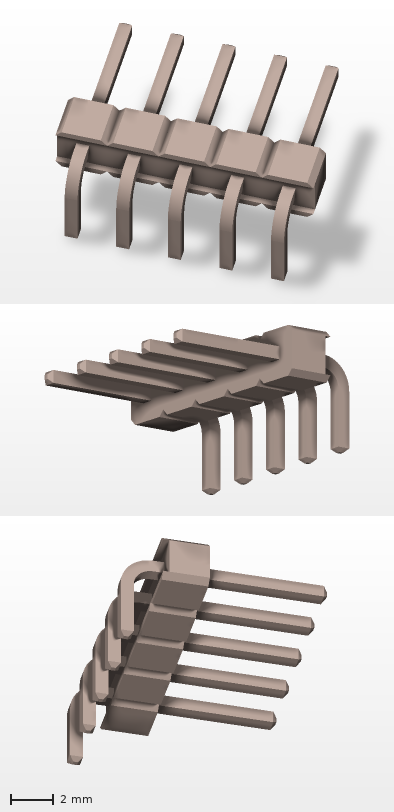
import cadquery as cq


pin_count = 5
pitch = 2.54
overall_height = 5.51

housing_height = 2.49
lip_depth = 2.29
core_depth = 1.98
edge_chamfer = 0.3
recess_height = housing_height - 2 * edge_chamfer

pin_width = 0.64
pin_length = 10.13
pin_rear_reach = 6.01
pin_drop = overall_height - housing_height / 2
bend_outer_radius = 1.59
tip_chamfer = 0.2

pin_front_y = pin_rear_reach - pin_length
bend_center_y = pin_front_y + bend_outer_radius
bend_center_z = pin_width / 2 - bend_outer_radius


def make_housing(x):
    """One housing segment: chamfered block, recessed at the front, with a square pin hole."""
    block = (
        cq.Workplane("XY")
        .box(pitch, lip_depth, housing_height)
        .edges("|Y")
        .chamfer(edge_chamfer)
        .translate((0, -lip_depth / 2, 0))
    )
    recess_depth = lip_depth - core_depth
    recess = cq.Workplane("XY").box(pitch, recess_depth, recess_height)
    recess = recess.translate((0, -core_depth - recess_depth / 2, 0))
    pin_hole = cq.Workplane("XY").box(pin_width, 2 * lip_depth, pin_width)
    return block.cut(recess).cut(pin_hole).translate((x, 0, 0))


def make_pin(x):
    """One square pin: horizontal leg, quarter bend, vertical leg, and tapered tips."""
    rear_leg = cq.Workplane("XZ", origin=(0, pin_rear_reach, 0)).rect(pin_width, pin_width)
    rear_leg = rear_leg.extrude(pin_rear_reach - bend_center_y)
    rear_leg = rear_leg.faces(">Y").chamfer(tip_chamfer)

    bend_section = cq.Workplane("XZ", origin=(0, bend_center_y, 0)).rect(pin_width, pin_width)
    bend = bend_section.revolve(90, (-0.13, bend_center_z, 0), (0.13, bend_center_z, 0))

    lower_leg_y = pin_front_y + pin_width / 2
    lower_leg = cq.Workplane("XY", origin=(0, lower_leg_y, -pin_drop)).rect(pin_width, pin_width)
    lower_leg = lower_leg.extrude(pin_drop + bend_center_z)
    lower_leg = lower_leg.faces("<Z").chamfer(tip_chamfer)

    return rear_leg.union(bend).union(lower_leg).translate((x, 0, 0))


row_positions = [(i - (pin_count - 1) / 2) * pitch for i in range(pin_count)]
housings = [make_housing(x).val() for x in row_positions]
pins = [make_pin(x).val() for x in row_positions]

result = cq.Compound.makeCompound([*housings, *pins])